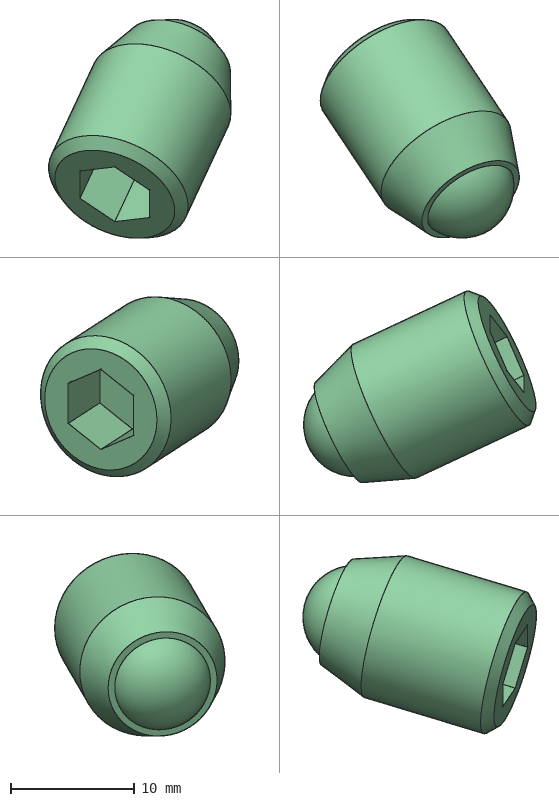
import cadquery as cq
import math

total_length = 18.0
body_diameter = 12.0
body_radius = body_diameter / 2
end_chamfer = 0.85

nose_radius = 4.5
nose_angle = 20.0
ball_protrusion = 2.75
ball_radius = 4.21

hex_across_flats = 6.0
hex_depth = 5.4

back_y = -total_length / 2
tip_y = total_length / 2
nose_y = tip_y - ball_protrusion
taper_length = (body_radius - nose_radius) / math.tan(math.radians(nose_angle))
ball_center_y = tip_y - ball_radius


def make_ball():
    """Ball whose tip stands out of the nose."""
    return cq.Workplane("XY").sphere(ball_radius).translate((0, ball_center_y, 0))


def make_hex_socket():
    """Hexagonal prism with two corners on the Z axis, cut from the back face."""
    corner_radius = hex_across_flats / math.sqrt(3)
    corner_angles = [math.radians(90 + 60 * i) for i in range(6)]
    corners = [(corner_radius * math.cos(a), corner_radius * math.sin(a)) for a in corner_angles]
    return (
        cq.Workplane("XZ", origin=(0, back_y, 0))
        .polyline(corners)
        .close()
        .extrude(-hex_depth)
    )


def make_body(ball):
    """Turned body with chamfered back, tapered nose, ball seat and hexagon socket."""
    turned = (
        cq.Workplane("XY")
        .moveTo(0, back_y)
        .lineTo(body_radius - end_chamfer, back_y)
        .lineTo(body_radius, back_y + end_chamfer)
        .lineTo(body_radius, nose_y - taper_length)
        .lineTo(nose_radius, nose_y)
        .lineTo(0, nose_y)
        .close()
        .revolve(360, (0, 0, 0), (0, 1, 0))
    )
    return turned.cut(ball).cut(make_hex_socket())


ball = make_ball()
body = make_body(ball)

result = cq.Compound.makeCompound([body.solids().val(), ball.val()])